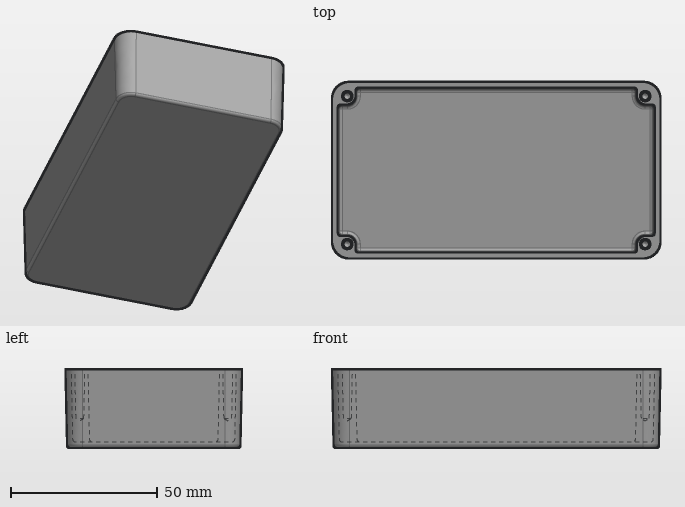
import cadquery as cq
import math

length = 112.4
width = 60.5
height = 27.0
corner_radius = 6.0
draft = 1.25
base_edge_radius = 1.0

wall = 2.0
floor_thickness = wall
cavity_depth = height - floor_thickness
inner_radius = 1.1

hole_inset_x = 5.3
hole_inset_y = 5.0
post_radius = 2.8
hole_mouth_diameter = 3.5
hole_end_diameter = 2.7
hole_depth = 16.9
drill_point_angle = 118.0

hole_x = length / 2 - hole_inset_x
hole_y = width / 2 - hole_inset_y
corner_signs = [(sx, sy) for sx in (-1, 1) for sy in (-1, 1)]
hole_positions = [(sx * hole_x, sy * hole_y) for sx, sy in corner_signs]
block_corners = [(sx * length / 2, sy * width / 2) for sx, sy in corner_signs]


def make_shell():
    """Solid drafted block with rounded corners; the rim is at the top."""
    rim = cq.Sketch().rect(length, width).vertices().fillet(corner_radius)
    block = cq.Workplane("XY").workplane(offset=height).placeSketch(rim)
    block = block.extrude(-height, taper=draft)
    return block.faces("<Z").edges().fillet(base_edge_radius)


def cavity_outline():
    """Rim outline of the cavity: a rectangle less a round-nosed post in each corner."""
    outline = cq.Sketch().rect(length - 2 * wall, width - 2 * wall)
    outline = outline.push(hole_positions).circle(post_radius, mode="s").reset()
    outline = outline.push(block_corners)
    outline = outline.rect(2 * hole_inset_x, 2 * (hole_inset_y + post_radius), mode="s")
    outline = outline.rect(2 * (hole_inset_x + post_radius), 2 * hole_inset_y, mode="s")
    return outline.reset().clean()


def make_cavity():
    """Drafted cavity with rounded grooves beside the posts and a rounded floor edge."""
    cavity = cq.Workplane("XY").workplane(offset=height).placeSketch(cavity_outline())
    cavity = cavity.extrude(-cavity_depth, taper=draft)
    lean = math.tan(math.radians(draft))
    for sx, sy in corner_signs:
        groove_direction = cq.Vector(sx * lean, sy * lean, 1)
        grooves = cavity.edges(cq.selectors.ParallelDirSelector(groove_direction))
        cavity = grooves.fillet(inner_radius)
    return cavity.faces("<Z").edges().fillet(inner_radius)


def make_screw_hole():
    """Tapered hole with a conical point, revolved about the Z axis."""
    mouth_radius = hole_mouth_diameter / 2
    end_radius = hole_end_diameter / 2
    point_depth = end_radius / math.tan(math.radians(drill_point_angle / 2))
    profile = [
        (0, height),
        (mouth_radius, height),
        (end_radius, height - hole_depth),
        (0, height - hole_depth - point_depth),
    ]
    return cq.Workplane("XZ").polyline(profile).close().revolve(360, (0, 0), (0, 1))


result = make_shell().cut(make_cavity())
screw_hole = make_screw_hole()
for x, y in hole_positions:
    result = result.cut(screw_hole.translate((x, y, 0)))